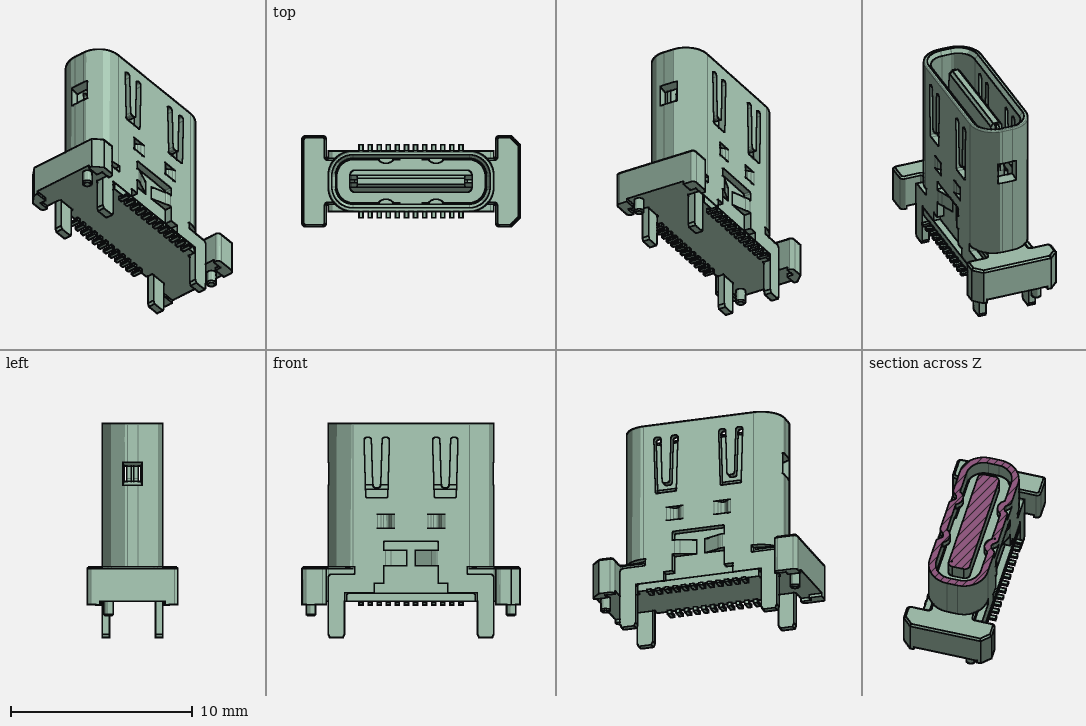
import cadquery as cq
import math


SHELL_X, SHELL_Y = 9.12, 3.34
SHELL_CORNER = 1.37
WALL = 0.41
SHELL_TOP = 9.98
RIM_ROUND = 0.06
MOUTH_CHAMFER_WIDTH, MOUTH_CHAMFER_DEPTH = 0.2, 0.23
MOUTH_LAND = 0.001
INNER_Y = SHELL_Y / 2 - WALL
OUTER_Y = SHELL_Y / 2

TOTAL_X = 12.0
WING_X, WING_Y = 1.35, 5.0
BODY_TOP, BODY_BOTTOM = 2.08, 0.18
WING_ROUND = 0.22
WING_CORNER_CUT = 0.49
NECK_ROUND = 0.1
TOP_CHAMFER = 0.11
FOOT_GAP, FOOT_INNER_GAP, FOOT_INNER_DEPTH = 3.6, 4.32, 0.6
FLANGE_X, FLANGE_TOP = 7.05, 0.62
FLANGE_ROUND = 0.12
CAVITY_FLOOR = 3.78
FLOOR_STEP_WIDTH, FLOOR_STEP_DEPTH = 0.07, 0.12
FLOOR_BRIDGE_X = 1.25

PEG_X, PEG_Y, PEG_DIAMETER, PEG_TIP = 5.51, 1.32, 0.53, -0.61
PEG_CHAMFER = 0.08

SKIRT_BOTTOM = 0.64
LEG_WIDTH, LEG_TIP = 0.91, -1.81
LEG_TIP_WIDTH_CUT, LEG_TIP_HEIGHT_CUT = 0.08, 0.19
SHOULDER_Z, SHOULDER_ROUND = 1.67, 0.2
NOTCH_INNER_X, NOTCH_ROUND = 3.08, 0.08

STEP_X, STEP_TOP = 4.03, 1.16
OPENING_X, OPENING_TOP = 3.0, 3.49
OPENING_ROUND = 0.08
TAB_BOTTOM, TAB_TOP = 2.15, 2.98
TAB_ROOT_X, TAB_BEND_X, TAB_END_X = 1.4, 1.1, 0.23
TAB_BEND_DROP = 0.1

FINGER_X = 1.88
SLOT_TOP, SLOT_BOTTOM = 9.2, 5.87
SLOT_TOP_WIDTH, SLOT_BOTTOM_WIDTH = 1.4, 1.21
SLOT_END_ROUND, SLOT_CORNER_ROUND = 0.17, 0.11
FINGER_TIP, FINGER_ROOT_WIDTH, FINGER_TIP_WIDTH = 6.43, 0.6, 0.43
FINGER_TIP_ROUND = 0.15
DIMPLE_X, DIMPLE_WIDTH, BUMP_DEPTH = 1.38, 0.94, 0.28
DIMPLE_FLANK_START, DIMPLE_FLANK_END, DIMPLE_FLANK_ANGLE = 0.29, 0.15, 45.0
DIMPLE_BOTTOM, DIMPLE_TOP = 4.19, 4.97

WINDOW_Y, WINDOW_BOTTOM, WINDOW_TOP = 1.1, 6.56, 7.82
WINDOW_INNER_Y, WINDOW_INNER_BOTTOM, WINDOW_INNER_TOP = 0.91, 6.78, 7.61

TONGUE_X, TONGUE_Y, TONGUE_TOP = 6.72, 0.65, 9.48
TONGUE_TIP_X, TONGUE_NOSE_X = 5.9, 6.55
TONGUE_NOSE_BOTTOM, TONGUE_SHOULDER_Z = 6.95, 6.6
TONGUE_TIP_Y, TONGUE_TIP_CHAMFER_DEPTH = 0.35, 0.18
COLLAR_Y, COLLAR_ROUND = 1.22, 0.3
COLLAR_TOP, COLLAR_RAMP_BOTTOM = 6.6, 6.34
PLATE_THICKNESS, PLATE_TOP = 0.15, 9.42
PLATE_CORNER_WIDTH, PLATE_CORNER_HEIGHT = 0.26, 0.3

TAIL_COUNT, TAIL_ROW_LENGTH, TAIL_WIDTH = 12, 5.5, 0.23
TAIL_BOTTOM, TAIL_TOP, TAIL_REACH = -0.04, 0.1, 2.02
TAIL_STEM_Y, TAIL_STEM_DEPTH = 1.44, 0.15


def box(x0, x1, y0, y1, z0, z1):
    """Box between two opposite corners."""
    return cq.Workplane("XY").box(x1 - x0, y1 - y0, z1 - z0, centered=False).translate((x0, y0, z0))


def rounded_prism(size_x, size_y, radius, z0, z1):
    """Vertical prism with rounded corners, centred on the Z axis."""
    prism = cq.Workplane("XY", origin=(0, 0, z0)).rect(size_x, size_y).extrude(z1 - z0)
    return prism.edges("|Z").fillet(radius)


def front_prism(points, depth_from, depth_to):
    """Extrude an XZ outline between two distances in front of the XZ plane."""
    outline = cq.Workplane("XZ", origin=(0, -depth_from, 0)).polyline(points).close()
    return outline.extrude(depth_to - depth_from)


def mirrored(solid, plane):
    """The solid together with its mirror image in a plane through the origin."""
    return solid.union(solid.mirror(plane))


def inner_prism(z0, z1, inset=0):
    """Prism with the shape of the shell's inner face, optionally inset from it."""
    margin = WALL + inset
    return rounded_prism(SHELL_X - 2 * margin, SHELL_Y - 2 * margin, SHELL_CORNER - margin, z0, z1)


def make_body():
    """Wings, the neck joining them, the core inside the shell and the low flange."""
    outer_x = TOTAL_X / 2
    inner_x = outer_x - WING_X
    half_y = WING_Y / 2
    left_wing = box(-outer_x, -inner_x, -half_y, half_y, 0, BODY_TOP).edges("|Z").fillet(WING_ROUND)
    right_wing = box(inner_x, outer_x, -half_y, half_y, 0, BODY_TOP)
    right_wing = right_wing.edges("|Z and >X").chamfer(WING_CORNER_CUT).edges("|Z and <X").fillet(WING_ROUND)
    neck = box(-outer_x + WING_ROUND, outer_x - WING_CORNER_CUT, -INNER_Y, INNER_Y, BODY_BOTTOM, BODY_TOP)
    body = left_wing.union(right_wing).union(neck)
    for x in (-inner_x, inner_x):
        for y in (-INNER_Y, INNER_Y):
            corner = cq.selectors.NearestToPointSelector((x, y, (BODY_TOP + BODY_BOTTOM) / 2))
            body = body.edges("|Z").edges(corner).fillet(NECK_ROUND)
    body = body.faces(">Z").chamfer(TOP_CHAMFER)
    relief_x = inner_x + FOOT_INNER_DEPTH
    body = body.cut(box(-outer_x, outer_x, -FOOT_GAP / 2, FOOT_GAP / 2, 0, BODY_BOTTOM))
    body = body.cut(box(-relief_x, relief_x, -FOOT_INNER_GAP / 2, FOOT_INNER_GAP / 2, 0, BODY_BOTTOM))
    flange = box(-FLANGE_X / 2, FLANGE_X / 2, -OUTER_Y, OUTER_Y, BODY_BOTTOM, FLANGE_TOP)
    flange = flange.edges("|Y and >Z").fillet(FLANGE_ROUND)
    core = inner_prism(BODY_BOTTOM, CAVITY_FLOOR - FLOOR_STEP_DEPTH)
    core = core.union(inner_prism(BODY_BOTTOM, CAVITY_FLOOR, FLOOR_STEP_WIDTH))
    half_bridge = FLOOR_BRIDGE_X / 2
    core = core.union(box(-half_bridge, half_bridge, -INNER_Y, INNER_Y, BODY_BOTTOM, CAVITY_FLOOR))
    return body.union(flange).union(core)


def make_pegs():
    """Locating pegs under the wings, both on the same side."""
    peg = cq.Workplane("XY", origin=(PEG_X, PEG_Y, PEG_TIP)).circle(PEG_DIAMETER / 2)
    peg = peg.extrude(BODY_BOTTOM - PEG_TIP).faces("<Z").chamfer(PEG_CHAMFER)
    return mirrored(peg, "YZ")


def make_tube():
    """Shell tube with a rounded rim and a chamfered mouth."""
    tube = rounded_prism(SHELL_X, SHELL_Y, SHELL_CORNER, BODY_TOP, SHELL_TOP).faces(">Z").fillet(RIM_ROUND)
    tube = tube.cut(inner_prism(BODY_TOP, SHELL_TOP))
    mouth = inner_prism(SHELL_TOP - MOUTH_CHAMFER_DEPTH, SHELL_TOP, -MOUTH_CHAMFER_WIDTH)
    mouth = mouth.faces("<Z").chamfer(MOUTH_CHAMFER_DEPTH - MOUTH_LAND, MOUTH_CHAMFER_WIDTH)
    return tube.cut(mouth)


def make_skirt():
    """Front skirt below the tube: shoulders, two legs and the strip between them."""
    half = SHELL_X / 2
    leg_inner = half - LEG_WIDTH
    right_half = [
        (0, SKIRT_BOTTOM),
        (leg_inner, SKIRT_BOTTOM),
        (leg_inner, LEG_TIP + LEG_TIP_HEIGHT_CUT),
        (leg_inner + LEG_TIP_WIDTH_CUT, LEG_TIP),
        (half - LEG_TIP_WIDTH_CUT, LEG_TIP),
        (half, LEG_TIP + LEG_TIP_HEIGHT_CUT),
        (half, SHOULDER_Z),
        (NOTCH_INNER_X, SHOULDER_Z),
        (NOTCH_INNER_X, BODY_TOP),
        (0, BODY_TOP),
    ]
    skirt = front_prism(right_half, INNER_Y, OUTER_Y)
    middle_y = -(INNER_Y + OUTER_Y) / 2
    notch_corner = cq.selectors.NearestToPointSelector((NOTCH_INNER_X, middle_y, SHOULDER_Z))
    shoulder_corner = cq.selectors.NearestToPointSelector((half, middle_y, SHOULDER_Z))
    skirt = skirt.edges(notch_corner).fillet(NOTCH_ROUND)
    skirt = skirt.edges(shoulder_corner).fillet(SHOULDER_ROUND)
    return mirrored(skirt, "YZ")


def make_opening():
    """Stepped opening cut through the front skirt."""
    step = box(-STEP_X / 2, STEP_X / 2, -OUTER_Y, -INNER_Y, SKIRT_BOTTOM, STEP_TOP)
    column = box(-OPENING_X / 2, OPENING_X / 2, -OUTER_Y, -INNER_Y, SKIRT_BOTTOM, OPENING_TOP)
    return step.union(column.edges("|Y and >Z").fillet(OPENING_ROUND))


def make_tabs():
    """Pair of tabs that bend from the front skirt down to the insulator face."""
    bend_y = -OUTER_Y + TAB_BEND_DROP
    bend_middle = ((TAB_ROOT_X + TAB_BEND_X) / 2, -OUTER_Y + TAB_BEND_DROP / 4)
    tab = (
        cq.Workplane("XY", origin=(0, 0, TAB_BOTTOM))
        .moveTo(OPENING_X / 2, -INNER_Y)
        .lineTo(OPENING_X / 2, -OUTER_Y)
        .lineTo(TAB_ROOT_X, -OUTER_Y)
        .threePointArc(bend_middle, (TAB_BEND_X, bend_y))
        .lineTo(TAB_END_X, -INNER_Y)
        .close()
        .extrude(TAB_TOP - TAB_BOTTOM)
    )
    return mirrored(tab, "YZ")


def make_finger_slot():
    """U-shaped slot that leaves a tapered spring finger rooted at its top."""
    slot = front_prism(
        [
            (-SLOT_TOP_WIDTH / 2, SLOT_TOP),
            (SLOT_TOP_WIDTH / 2, SLOT_TOP),
            (SLOT_BOTTOM_WIDTH / 2, SLOT_BOTTOM),
            (-SLOT_BOTTOM_WIDTH / 2, SLOT_BOTTOM),
        ],
        INNER_Y,
        OUTER_Y,
    )
    finger = front_prism(
        [
            (-FINGER_ROOT_WIDTH / 2, SLOT_TOP),
            (FINGER_ROOT_WIDTH / 2, SLOT_TOP),
            (FINGER_TIP_WIDTH / 2, FINGER_TIP),
            (-FINGER_TIP_WIDTH / 2, FINGER_TIP),
        ],
        INNER_Y,
        OUTER_Y,
    )
    slot = slot.cut(finger.edges("|Y and <Z").fillet(FINGER_TIP_ROUND))
    slot = slot.edges("|Y and >Z").fillet(SLOT_END_ROUND)
    return slot.edges("|Y and <Z").fillet(SLOT_CORNER_ROUND)


def make_bump():
    """Rounded bump on the inner face of the front wall, behind a dimple."""
    return (
        cq.Workplane("XY", origin=(DIMPLE_X, -INNER_Y, DIMPLE_BOTTOM))
        .moveTo(-DIMPLE_WIDTH / 2, 0)
        .threePointArc((0, BUMP_DEPTH), (DIMPLE_WIDTH / 2, 0))
        .close()
        .extrude(DIMPLE_TOP - DIMPLE_BOTTOM)
    )


def make_dimple():
    """Dimple in the front wall: rounded shoulders, straight flanks and a round bottom."""
    edge_x = DIMPLE_WIDTH / 2
    angle = math.radians(DIMPLE_FLANK_ANGLE)
    shoulder_radius = (edge_x - DIMPLE_FLANK_START) / math.sin(angle)
    bottom_radius = DIMPLE_FLANK_END / math.sin(angle)
    shoulder_drop = shoulder_radius * (1 - math.cos(angle))
    flank_end_depth = shoulder_drop + (DIMPLE_FLANK_START - DIMPLE_FLANK_END) * math.tan(angle)
    depth = flank_end_depth + bottom_radius * (1 - math.cos(angle))
    shoulder_middle_x = edge_x - shoulder_radius * math.sin(angle / 2)
    shoulder_middle_depth = shoulder_radius * (1 - math.cos(angle / 2))
    return (
        cq.Workplane("XY", origin=(DIMPLE_X, -OUTER_Y, DIMPLE_BOTTOM))
        .moveTo(-edge_x, 0)
        .threePointArc((-shoulder_middle_x, shoulder_middle_depth), (-DIMPLE_FLANK_START, shoulder_drop))
        .lineTo(-DIMPLE_FLANK_END, flank_end_depth)
        .threePointArc((0, depth), (DIMPLE_FLANK_END, flank_end_depth))
        .lineTo(DIMPLE_FLANK_START, shoulder_drop)
        .threePointArc((shoulder_middle_x, shoulder_middle_depth), (edge_x, 0))
        .close()
        .extrude(DIMPLE_TOP - DIMPLE_BOTTOM)
    )


def make_windows():
    """Windows in both narrow walls, narrowing inward."""
    outer_center = (WINDOW_BOTTOM + WINDOW_TOP) / 2
    inner_center = (WINDOW_INNER_BOTTOM + WINDOW_INNER_TOP) / 2
    window = (
        cq.Workplane("YZ", origin=(SHELL_X / 2, 0, 0))
        .center(0, outer_center)
        .rect(WINDOW_Y, WINDOW_TOP - WINDOW_BOTTOM)
        .workplane(offset=-WALL)
        .center(0, inner_center - outer_center)
        .rect(WINDOW_INNER_Y, WINDOW_INNER_TOP - WINDOW_INNER_BOTTOM)
        .loft(ruled=True)
    )
    half_inner_y = WINDOW_INNER_Y / 2
    window = window.union(
        box(
            SHELL_X / 2 - 2 * WALL,
            SHELL_X / 2 - WALL,
            -half_inner_y,
            half_inner_y,
            WINDOW_INNER_BOTTOM,
            WINDOW_INNER_TOP,
        )
    )
    return mirrored(window, "YZ")


def make_tongue():
    """Contact tongue with tapered ends, a thicker collar and a middle plate."""
    half_x = TONGUE_X / 2
    outline = [
        (-half_x, CAVITY_FLOOR),
        (-half_x, TONGUE_SHOULDER_Z),
        (-TONGUE_NOSE_X / 2, TONGUE_NOSE_BOTTOM),
        (-TONGUE_TIP_X / 2, TONGUE_TOP),
        (TONGUE_TIP_X / 2, TONGUE_TOP),
        (TONGUE_NOSE_X / 2, TONGUE_NOSE_BOTTOM),
        (half_x, TONGUE_SHOULDER_Z),
        (half_x, CAVITY_FLOOR),
    ]
    half_y = TONGUE_Y / 2
    blade = front_prism(outline, -half_y, half_y)
    tip_y = TONGUE_TIP_Y / 2
    chamfer_z = TONGUE_TOP - TONGUE_TIP_CHAMFER_DEPTH
    section = [
        (-half_y, CAVITY_FLOOR),
        (-half_y, chamfer_z),
        (-tip_y, TONGUE_TOP),
        (tip_y, TONGUE_TOP),
        (half_y, chamfer_z),
        (half_y, CAVITY_FLOOR),
    ]
    profile = cq.Workplane("YZ").polyline(section).close().extrude(half_x, both=True)
    collar_section = [
        (-COLLAR_Y / 2, CAVITY_FLOOR),
        (-COLLAR_Y / 2, COLLAR_RAMP_BOTTOM),
        (-half_y, COLLAR_TOP),
        (half_y, COLLAR_TOP),
        (COLLAR_Y / 2, COLLAR_RAMP_BOTTOM),
        (COLLAR_Y / 2, CAVITY_FLOOR),
    ]
    collar = cq.Workplane("YZ").polyline(collar_section).close().extrude(half_x, both=True)
    collar = collar.intersect(rounded_prism(TONGUE_X, COLLAR_Y, COLLAR_ROUND, CAVITY_FLOOR, COLLAR_TOP))
    half_plate = PLATE_THICKNESS / 2
    plate_outline = [
        (-half_x, CAVITY_FLOOR),
        (-half_x, PLATE_TOP - PLATE_CORNER_HEIGHT),
        (-half_x + PLATE_CORNER_WIDTH, PLATE_TOP),
        (half_x - PLATE_CORNER_WIDTH, PLATE_TOP),
        (half_x, PLATE_TOP - PLATE_CORNER_HEIGHT),
        (half_x, CAVITY_FLOOR),
    ]
    plate = front_prism(plate_outline, -half_plate, half_plate)
    return blade.intersect(profile).union(collar).union(plate)


def make_tails():
    """Row of L-shaped contact tails below the front edge of the flange."""
    half = TAIL_WIDTH / 2
    foot = box(-half, half, -TAIL_REACH, -TAIL_STEM_Y, TAIL_BOTTOM, TAIL_TOP)
    stem = box(-half, half, -TAIL_STEM_Y - TAIL_STEM_DEPTH, -TAIL_STEM_Y, TAIL_BOTTOM, BODY_BOTTOM)
    tail = foot.union(stem)
    first_x = -TAIL_ROW_LENGTH / 2
    pitch = TAIL_ROW_LENGTH / (TAIL_COUNT - 1)
    tails = tail.translate((first_x, 0, 0))
    for index in range(1, TAIL_COUNT):
        tails = tails.union(tail.translate((first_x + index * pitch, 0, 0)))
    return tails


slots = mirrored(make_finger_slot().translate((FINGER_X, 0, 0)), "YZ")
bumps = mirrored(make_bump(), "YZ")
dimples = mirrored(make_dimple(), "YZ")

shell = make_tube().cut(make_windows())
shell = shell.union(mirrored(make_skirt(), "XZ"))
shell = shell.cut(mirrored(make_opening().union(slots), "XZ"))
shell = shell.union(mirrored(make_tabs(), "XZ"))
shell = shell.union(mirrored(bumps, "XZ")).cut(mirrored(dimples, "XZ"))

result = make_body().union(shell).union(make_pegs()).union(make_tongue())
result = result.union(mirrored(make_tails(), "XZ"))